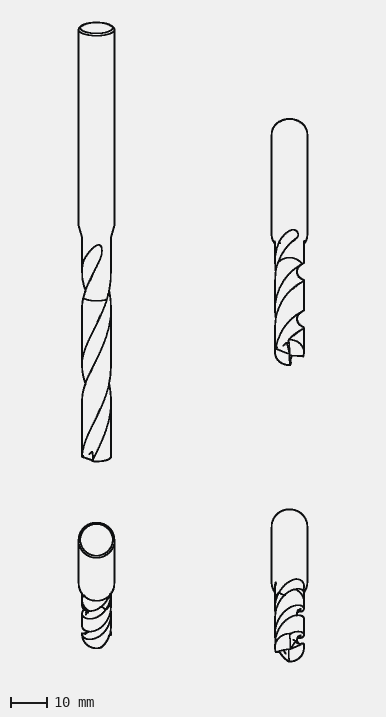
import cadquery as cq
import math

TOTAL_LENGTH = 128.0
JOINT_HEIGHT = 48.9
NECK_TOP = 66.2
SHANK_BASE = 69.7

SHANK_RADIUS = 5.0
SHANK_CHAMFER = 0.5
DRILL_RADIUS = 4.05
POINT_ANGLE = 140.0
POINT_HEIGHT = DRILL_RADIUS / math.tan(math.radians(POINT_ANGLE / 2))

FLUTE_COUNT = 2
FLUTE_LEAD = 54.8
FLUTE_HALF_ANGLE = 34.0
CORE_RADIUS = 2.1
FLUTE_BASE = -1.0
HELIX_TOP = 60.1
HELIX_TOP_ANGLE = -49.5

RUNOUT_HEIGHT = 4.2
RUNOUT_TURN = 48.0
RUNOUT_OVERRUN = 1.3

GASH_PEAK = cq.Vector(1.1, -1.8, 3.6)
GASH_HEEL = cq.Vector(-1.0, -3.57, 1.9)
GASH_LIP = cq.Vector(2.1, -1.93, 1.9)
GASH_WEB_END = cq.Vector(0.25, -0.1, 0.1)
GASH_OVERRUN = 1.5

mouth_half_width = DRILL_RADIUS * math.sin(math.radians(FLUTE_HALF_ANGLE))
mouth_depth = DRILL_RADIUS * math.cos(math.radians(FLUTE_HALF_ANGLE)) - CORE_RADIUS
flute_radius = (mouth_half_width**2 + mouth_depth**2) / (2 * mouth_depth)
flute_centre_radius = CORE_RADIUS + flute_radius


def polar_point(radius, angle, height):
    turn = math.radians(angle)
    return cq.Vector(radius * math.cos(turn), radius * math.sin(turn), height)


def helix_angle_at(height):
    return HELIX_TOP_ANGLE + 360.0 * (height - HELIX_TOP) / FLUTE_LEAD


def helical_flute(index_angle):
    """Circle twisted upward from below the point to the start of the run-out."""
    start = polar_point(flute_centre_radius, helix_angle_at(FLUTE_BASE) + index_angle, FLUTE_BASE)
    height = HELIX_TOP - FLUTE_BASE
    return (
        cq.Workplane("XY", origin=(0, 0, FLUTE_BASE))
        .center(start.x, start.y)
        .circle(flute_radius)
        .center(-start.x, -start.y)
        .twistExtrude(height, 360.0 * height / FLUTE_LEAD)
        .val()
    )


def flute_runout(index_angle):
    """Slanted cylinder whose deepest line rises from the core to the drill surface."""
    exit_height = HELIX_TOP + RUNOUT_HEIGHT
    deep_start = polar_point(CORE_RADIUS, HELIX_TOP_ANGLE + index_angle, HELIX_TOP)
    deep_end = polar_point(DRILL_RADIUS, HELIX_TOP_ANGLE + RUNOUT_TURN + index_angle, exit_height)
    slant = (deep_end - deep_start) * RUNOUT_OVERRUN
    centre = polar_point(flute_centre_radius, HELIX_TOP_ANGLE + index_angle, HELIX_TOP)
    section = cq.Wire.makeCircle(flute_radius, centre, cq.Vector(0, 0, 1))
    return cq.Solid.extrudeLinear(section, [], slant)


def gash(index_angle):
    """Tetrahedron hanging from the gash peak, run on past the outside of the point."""
    heel, lip, web_end = [
        GASH_PEAK + (corner - GASH_PEAK) * GASH_OVERRUN
        for corner in (GASH_HEEL, GASH_LIP, GASH_WEB_END)
    ]
    triangles = [
        (GASH_PEAK, heel, web_end),
        (GASH_PEAK, web_end, lip),
        (GASH_PEAK, lip, heel),
        (heel, lip, web_end),
    ]
    faces = [cq.Face.makeFromWires(cq.Wire.makePolygon(corners, close=True)) for corners in triangles]
    tetrahedron = cq.Solid.makeSolid(cq.Shell.makeShell(faces))
    return tetrahedron.rotate(cq.Vector(0, 0, 0), cq.Vector(0, 0, 1), index_angle)


cutting_tip = (
    cq.Workplane("XZ")
    .polyline([(0, 0), (DRILL_RADIUS, POINT_HEIGHT), (DRILL_RADIUS, JOINT_HEIGHT), (0, JOINT_HEIGHT)])
    .close()
    .revolve(360, (0, 0), (0, 1))
)
shank = (
    cq.Workplane("XZ")
    .polyline([
        (0, JOINT_HEIGHT),
        (DRILL_RADIUS, JOINT_HEIGHT),
        (DRILL_RADIUS, NECK_TOP),
        (SHANK_RADIUS, SHANK_BASE),
        (SHANK_RADIUS, TOTAL_LENGTH - SHANK_CHAMFER),
        (SHANK_RADIUS - SHANK_CHAMFER, TOTAL_LENGTH),
        (0, TOTAL_LENGTH),
    ])
    .close()
    .revolve(360, (0, 0), (0, 1))
)

for index in range(FLUTE_COUNT):
    index_angle = index * 360.0 / FLUTE_COUNT
    helix = helical_flute(index_angle)
    cutting_tip = cutting_tip.cut(cq.Workplane(helix)).cut(cq.Workplane(gash(index_angle)))
    shank = shank.cut(cq.Workplane(helix)).cut(cq.Workplane(flute_runout(index_angle)))

result = cq.Compound.makeCompound([cutting_tip.val(), shank.val()])